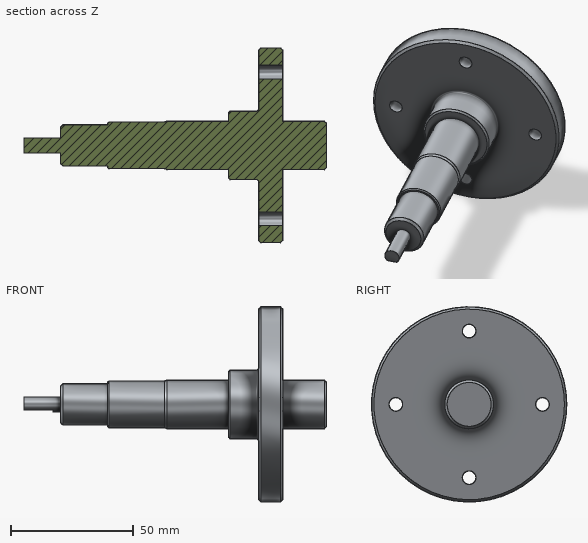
import cadquery as cq

pin_flat_end = 12.0
nose_start = 15.0
seat_start = 34.3
journal_start = 57.5
collar_start = 83.7
flange_start = 96.1
flange_thickness = 9.9
total_length = 124.0

pin_diameter = 6.2
nose_diameter = 17.0
seat_diameter = 19.2
journal_diameter = 20.0
collar_diameter = 28.1
flange_diameter = 80.0
bolt_circle_diameter = 60.0
bolt_hole_diameter = 5.5
bolt_hole_count = 4

pin_flat_depth = 2.4

edge_chamfer = 1.0
collar_chamfer = 0.7
seat_chamfer = 0.5
journal_lead_length = 1.1
journal_lead_height = 0.4
collar_fillet = 1.0

flange_end = flange_start + flange_thickness


def cylinder(start, end, diameter):
    """Solid cylinder on the X axis between two axial positions."""
    return cq.Workplane("YZ", origin=(start, 0, 0)).circle(diameter / 2).extrude(end - start)


def make_pin():
    """Drive pin with a flat milled along its underside, stopping short of the nose."""
    pin = cylinder(0, nose_start, pin_diameter)
    below_flat = cq.Workplane("XY").box(
        pin_flat_end, pin_diameter, pin_diameter, centered=(False, True, False)
    ).translate((0, 0, -pin_flat_depth - pin_diameter))
    return pin.cut(below_flat)


def make_journal():
    """Main shaft, with a shallow lead-in on its front edge and a chamfered rear end."""
    journal = cylinder(journal_start, total_length, journal_diameter)
    journal = journal.faces(">X").chamfer(edge_chamfer)
    radius = journal_diameter / 2
    lead_in = (
        cq.Workplane("XY")
        .moveTo(journal_start, radius - journal_lead_height)
        .lineTo(journal_start + journal_lead_length, radius)
        .lineTo(journal_start, radius)
        .close()
        .revolve(360, (0, 0, 0), (1, 0, 0))
    )
    return journal.cut(lead_in)


def make_flange():
    """Flange and collar, joined by a fillet and drilled with the bolt circle."""
    collar = cylinder(collar_start, flange_start, collar_diameter)
    collar = collar.faces("<X").chamfer(collar_chamfer)
    disc = cylinder(flange_start, flange_end, flange_diameter)
    disc = disc.faces("<X or >X").chamfer(edge_chamfer)
    inner_corner = cq.selectors.BoxSelector(
        (flange_start - collar_fillet / 2, -collar_diameter, -collar_diameter),
        (flange_start + collar_fillet / 2, collar_diameter, collar_diameter),
        boundingbox=True,
    )
    flange = disc.union(collar).edges(inner_corner).fillet(collar_fillet)
    holes = (
        cq.Workplane("YZ", origin=(flange_start, 0, 0))
        .polarArray(bolt_circle_diameter / 2, 0, 360, bolt_hole_count)
        .circle(bolt_hole_diameter / 2)
        .extrude(flange_thickness)
    )
    return flange.cut(holes)


nose = cylinder(nose_start, seat_start, nose_diameter).faces("<X").chamfer(edge_chamfer)
seat = cylinder(seat_start, journal_start, seat_diameter).faces("<X").chamfer(seat_chamfer)

result = make_pin().union(nose).union(seat).union(make_journal()).union(make_flange())